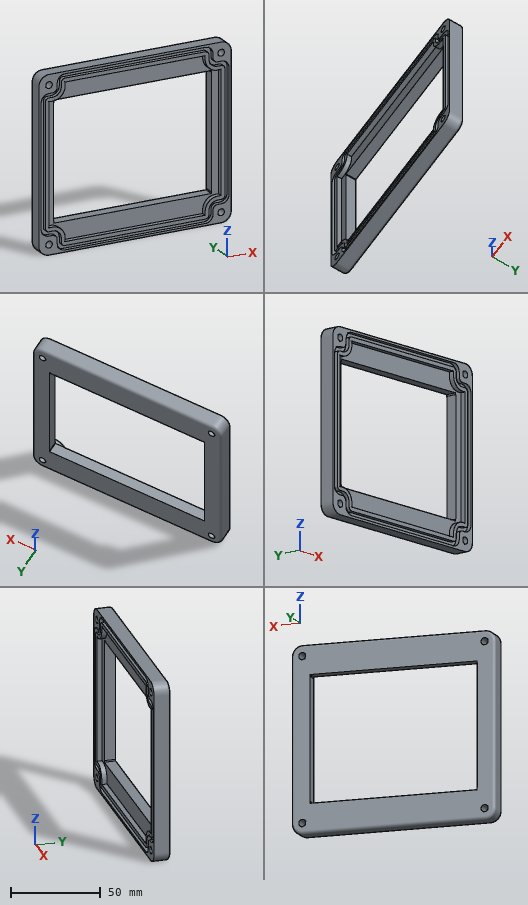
import cadquery as cq

length = 120.4
height = 108.2
thickness = 9.65
corner_radius = 6.35
back_edge_radius = 1.78

hole_diameter = 4.06

window_length = 98.8
window_height = 73.6
window_corner_radius = 1.6
window_corner_step = 0.13

groove_margin = 1.4
groove_width = 2.6
rib_width = 2.35
groove_depth = 2.54
recess_depth = 3.05

notch_size = 11.43
notch_radius = 2.8
groove_outer_radius = 4.83


def y_prism(sketch, depth):
    """Extrude a sketch, drawn in X and Z, from the sealing face towards +Y."""
    return cq.Workplane("XZ").placeSketch(sketch).extrude(-depth)


def round_corners(sketch, x, z, radius):
    """Round the four sketch corners at (+-x, +-z)."""
    for side_x in (-1, 1):
        for side_z in (-1, 1):
            corner = cq.NearestToPointSelector((side_x * x, side_z * z, 0))
            sketch = sketch.vertices(corner).fillet(radius).reset()
    return sketch


def notched_outline(inset):
    """Rectangle notched at each corner, offset inward from the groove's outer wall.

    The outward corners stay sharp once the inset uses up their radius.
    """
    margin = groove_margin + inset
    notch = notch_size + inset
    outer_radius = groove_outer_radius - inset
    half_x = length / 2 - margin
    half_z = height / 2 - margin
    notch_x = length / 2 - notch
    notch_z = height / 2 - notch

    outline = cq.Sketch().rect(2 * half_x, 2 * notch_z).rect(2 * notch_x, 2 * half_z).clean()
    outline = round_corners(outline, notch_x, notch_z, notch_radius + inset)
    if outer_radius > 0:
        outline = round_corners(outline, half_x, notch_z, outer_radius)
        outline = round_corners(outline, notch_x, half_z, outer_radius)
    return outline


def make_body():
    """Rounded plate with its back edge rounded over."""
    outline = cq.Sketch().rect(length, height).vertices().fillet(corner_radius)
    return y_prism(outline, thickness).faces(">Y").edges().fillet(back_edge_radius)


def make_groove():
    """Gasket channel cut into the sealing face."""
    outside = y_prism(notched_outline(0), groove_depth)
    inside = y_prism(notched_outline(groove_width), groove_depth)
    return outside.cut(inside)


def make_recess():
    """Shallow pocket inside the rib that bounds the groove."""
    return y_prism(notched_outline(groove_width + rib_width), recess_depth)


def make_window():
    """Through opening: a round-cornered rectangle squared out by a slightly shorter sharp one."""
    rounded = cq.Sketch().rect(window_length, window_height).vertices().fillet(window_corner_radius)
    squared = cq.Sketch().rect(window_length - 2 * window_corner_step, window_height)
    return y_prism(rounded, thickness).union(y_prism(squared, thickness))


def make_holes():
    """Four screw holes through the corners."""
    spacing_x = length - 2 * corner_radius
    spacing_z = height - 2 * corner_radius
    centres = cq.Sketch().rarray(spacing_x, spacing_z, 2, 2).circle(hole_diameter / 2)
    return y_prism(centres, thickness)


result = make_body().cut(make_groove()).cut(make_recess()).cut(make_window()).cut(make_holes())